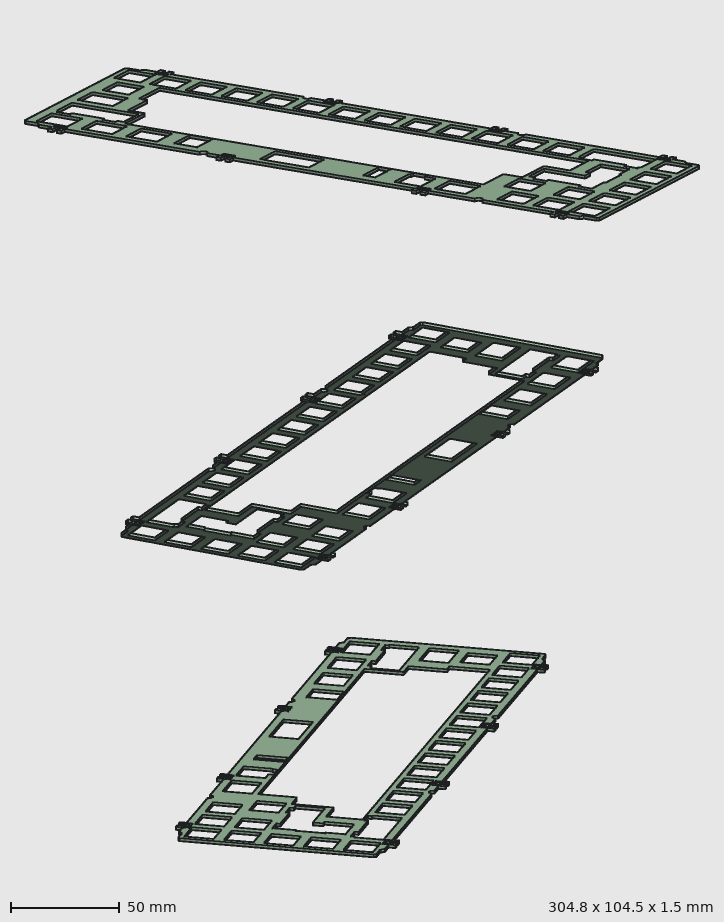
import cadquery as cq

length = 304.8
width_over_posts = 104.5
thickness = 1.5
body_width = 98.0
shoulder_width = 94.5
shoulder_x = 144.8
corner_chamfer = 1.0
shoulder_chamfer = 1.5

key_span = 284.5
pitch = key_span / 15
key_size = 14.0
corner_radius = 0.45
row_y = [2 * pitch, pitch, 0.0, -pitch, -2 * pitch]

stab_spacing = 24.0
stab_half_span = stab_spacing / 2
stab_slot_width = 7.0
stab_slot_drop = 1.8

opening_back = 28.0
opening_front = -28.0

front_slot_back = -28.5
front_slot_front = -43.3

tab_end_x = 133.2
tab_inner_x = 44.0
tab_front_x = 59.7
post_width = 2.5
post_offset = 2.35
relief_inner_y = 46.0
relief_outer_y = 48.5
relief_width = 6.0
tongue_width = 3.0
tongue_inner_y = 47.0

notch_radius = 1.98
notch_back_x = 3 * pitch
notch_front_left_x = -56.0
notch_front_right_x = 90.0


def box_between(x0, x1, y0, y1):
    """Plate-thick block between two X and two Y limits."""
    return cq.Workplane("XY").box(x1 - x0, y1 - y0, thickness).translate(
        ((x0 + x1) / 2, (y0 + y1) / 2, 0)
    )


def key_opening(row, first, last=None):
    """Opening for key centres from first to last, in units from the middle."""
    if last is None:
        last = first
    half = key_size / 2
    return box_between(
        first * pitch - half, last * pitch + half, row_y[row] - half, row_y[row] + half
    ).edges("|Z").fillet(corner_radius)


def stabilizer_slots(row, center):
    """Pair of slots dropping below the front edge of a wide key opening."""
    front = row_y[row] - key_size / 2 - stab_slot_drop
    middle = center * pitch
    slots = cq.Workplane("XY")
    for side in (-1, 1):
        x = middle + side * stab_half_span
        slots = slots.add(
            box_between(x - stab_slot_width / 2, x + stab_slot_width / 2, front, row_y[row])
        )
    return slots.combine()


def plate_blank():
    ends = cq.Workplane("XY").box(length, shoulder_width, thickness)
    ends = ends.edges("|Z").chamfer(corner_chamfer)
    body = box_between(-shoulder_x, shoulder_x, -body_width / 2, body_width / 2)
    body = body.edges("|Z").chamfer(shoulder_chamfer)
    return ends.union(body)


def central_opening():
    left_back_x, left_middle_x, left_front_x = -123.5, -119.0, -109.7
    right_back_x, right_middle_x, right_front_x = 104.2, 90.5, 80.5
    left_step_y = 8.8
    right_step_y = 10.7
    front_step_y = -9.5
    outline = [
        (left_back_x, opening_back),
        (right_back_x, opening_back),
        (right_back_x, right_step_y),
        (right_middle_x, right_step_y),
        (right_middle_x, front_step_y),
        (right_front_x, front_step_y),
        (right_front_x, opening_front),
        (left_front_x, opening_front),
        (left_front_x, front_step_y),
        (left_middle_x, front_step_y),
        (left_middle_x, left_step_y),
        (left_back_x, left_step_y),
    ]
    return (
        cq.Workplane("XY").workplane(offset=-thickness / 2)
        .polyline(outline).close().extrude(thickness)
        .edges("|Z").fillet(corner_radius)
    )


def enter_opening():
    """Opening that takes either a wide or a tall two-row enter key."""
    center = 5.875
    half = key_size / 2
    right_x = center * pitch + stab_half_span + stab_slot_width / 2
    tall_right_x = 6.375 * pitch + half
    upper_left_x = 111.8
    step_x = 114.3
    lower_back = row_y[2] + half
    upper_front = row_y[1] - half
    upper = box_between(upper_left_x, right_x, upper_front, row_y[1] + half)
    bridge = box_between(step_x, right_x, lower_back, upper_front)
    lower = box_between(5.25 * pitch - half, right_x, row_y[2] - half, lower_back)
    tall_middle = (row_y[1] + row_y[2]) / 2
    tall = box_between(step_x, tall_right_x, tall_middle - half, tall_middle + half)
    return upper.union(bridge).union(lower).union(tall).union(stabilizer_slots(2, center))


def add_tab(plate, x, side):
    """Add one tab; side is +1 on the back edge and -1 on the front edge."""

    def tab_block(center_x, block_width, inner_y, outer_y):
        y_limits = sorted((side * inner_y, side * outer_y))
        return box_between(center_x - block_width / 2, center_x + block_width / 2, *y_limits)

    relief = tab_block(x, relief_width, relief_inner_y, relief_outer_y)
    tongue = tab_block(x, tongue_width, tongue_inner_y, relief_outer_y)
    plate = plate.cut(relief.cut(tongue))
    for offset in (-post_offset, post_offset):
        plate = plate.union(
            tab_block(x + offset, post_width, relief_outer_y, width_over_posts / 2)
        )
    return plate


single_keys = [(0, unit - 7.5) for unit in range(13)]
single_keys += [(row, 7.5) for row in range(5)]
single_keys += [(1, -7.25), (3, 5.125), (3, 6.5), (4, 2.625), (4, 5.5), (4, 6.5)]
merged_keys = [
    (0, 5.5, 6.5),
    (2, -7.375, -7.125),
    (3, -7.375, -6.25),
    (4, -7.375, -7.25),
    (4, -6.125, -6.0),
    (4, -4.875, -4.75),
    (4, -1.125, -0.5),
    (4, 3.75, 3.875),
]

front_slots = [(-75.0, -62.8), (25.3, 31.7)]
front_relief = (43.5, 51.0)

result = plate_blank()
result = result.cut(central_opening())
for key in single_keys + merged_keys:
    result = result.cut(key_opening(*key))

for row, center in [(0, 6.0), (3, -6.875)]:
    result = result.cut(stabilizer_slots(row, center))
result = result.cut(enter_opening())

for left_x, right_x in front_slots:
    result = result.cut(box_between(left_x, right_x, front_slot_front, front_slot_back))
result = result.cut(box_between(*front_relief, row_y[4], front_slot_back))

notch_places = [
    (-notch_back_x, body_width / 2),
    (notch_back_x, body_width / 2),
    (notch_front_left_x, -body_width / 2),
    (notch_front_right_x, -body_width / 2),
]
notches = (
    cq.Workplane("XY").workplane(offset=-thickness / 2)
    .pushPoints(notch_places).circle(notch_radius).extrude(thickness)
)
result = result.cut(notches)

for x in (-tab_end_x, -tab_inner_x, tab_inner_x, tab_end_x):
    result = add_tab(result, x, 1)
for x in (-tab_end_x, -tab_inner_x, tab_front_x, tab_end_x):
    result = add_tab(result, x, -1)